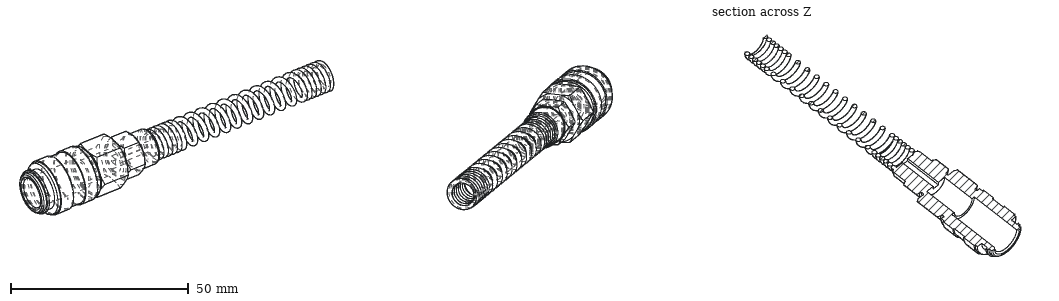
import cadquery as cq
import math


RING_START, RING_END = 1.2, 1.9
LIP_START = 4.0
COLLAR_START = 4.9
WAIST_START, WAIST_END = 9.1, 13.3
COLLAR_END = 17.3
SHOULDER_END = 18.5
BIG_HEX_START, BIG_HEX_END = 19.2, 28.2
SMALL_HEX_START, SMALL_HEX_END = 29.1, 35.1
SLEEVE_END = 40.5
TOTAL_LENGTH = 100.0

TIP_RADIUS = 6.0
RING_RADIUS = 6.5
COLLAR_RADIUS = 8.1
WAIST_RADIUS = 7.7
REAR_NECK_RADIUS = 6.6
HEX_NECK_RADIUS = 4.9
SLEEVE_RADIUS = 5.3

TIP_CHAMFER = 0.4
SLEEVE_CHAMFER_RADIAL, SLEEVE_CHAMFER_AXIAL = 0.3, 0.6

BIG_HEX_CORNERS = 2 * COLLAR_RADIUS
SMALL_HEX_CORNERS = 13.0
HEX_CHAMFER_RADIAL = 0.9
HEX_CHAMFER_ANGLE = 30.0

BORE_RADIUS, BORE_DEPTH = 4.4, COLLAR_END
INNER_BORE_RADIUS, INNER_BORE_DEPTH = 3.5, BIG_HEX_END
BORE_CHAMFER = 0.5
SQUARE_HOLE = 2.0

WIRE_DIAMETER = 1.5
SPRING_OUTER_RADIUS = 4.7
COIL_RADIUS = SPRING_OUTER_RADIUS - WIRE_DIAMETER / 2
CLOSE_GAP = 0.05
CLOSE_PITCH = WIRE_DIAMETER + CLOSE_GAP
BURIED_LENGTH = 1.1
SPRING_START = SLEEVE_END - BURIED_LENGTH
FIRST_CLOSE_TURNS, OPEN_TURNS, LAST_CLOSE_TURNS = 6.5, 11.0, 7.2
OPEN_LENGTH = 41.2
OPEN_PITCH = OPEN_LENGTH / OPEN_TURNS
START_ANGLE = 180.0
POINTS_PER_TURN = 12


def cylinder(radius, start, end):
    """Cylinder on the Y axis between two places."""
    return cq.Workplane("XZ", origin=(0, start, 0)).circle(radius).extrude(start - end)


def turned_body():
    """Round stretches from the tip to the end of the sleeve."""
    outline = [
        (0, 0),
        (TIP_RADIUS - TIP_CHAMFER, 0),
        (TIP_RADIUS, TIP_CHAMFER),
        (TIP_RADIUS, RING_START),
        (RING_RADIUS, RING_START),
        (RING_RADIUS, RING_END),
        (TIP_RADIUS, RING_END),
        (TIP_RADIUS, LIP_START),
        (WAIST_RADIUS, LIP_START),
        (WAIST_RADIUS, COLLAR_START),
        (COLLAR_RADIUS, COLLAR_START),
        (COLLAR_RADIUS, WAIST_START),
        (WAIST_RADIUS, WAIST_START),
        (WAIST_RADIUS, WAIST_END),
        (COLLAR_RADIUS, WAIST_END),
        (COLLAR_RADIUS, COLLAR_END),
        (WAIST_RADIUS, COLLAR_END),
        (WAIST_RADIUS, SHOULDER_END),
        (REAR_NECK_RADIUS, SHOULDER_END),
        (REAR_NECK_RADIUS, BIG_HEX_START),
        (HEX_NECK_RADIUS, BIG_HEX_START),
        (HEX_NECK_RADIUS, SMALL_HEX_END),
        (SLEEVE_RADIUS, SMALL_HEX_END),
        (SLEEVE_RADIUS, SLEEVE_END - SLEEVE_CHAMFER_AXIAL),
        (SLEEVE_RADIUS - SLEEVE_CHAMFER_RADIAL, SLEEVE_END),
        (0, SLEEVE_END),
    ]
    return cq.Workplane("XY").polyline(outline).close().revolve(360, (0, 0, 0), (0, 1, 0))


def hexagon(corners, start, end):
    """Hexagonal prism with its corners turned off conically at both ends."""
    axial = HEX_CHAMFER_RADIAL * math.tan(math.radians(HEX_CHAMFER_ANGLE))
    prism = cq.Workplane("XZ", origin=(0, start, 0)).polygon(6, corners).extrude(start - end)
    blank = cylinder(corners / 2, start, end).edges().chamfer(axial, HEX_CHAMFER_RADIAL)
    return prism.intersect(blank)


def bore():
    """Stepped round bore with a chamfered mouth."""
    outline = [
        (0, 0),
        (BORE_RADIUS + BORE_CHAMFER, 0),
        (BORE_RADIUS, BORE_CHAMFER),
        (BORE_RADIUS, BORE_DEPTH),
        (INNER_BORE_RADIUS, BORE_DEPTH),
        (INNER_BORE_RADIUS, INNER_BORE_DEPTH),
        (0, INNER_BORE_DEPTH),
    ]
    return cq.Workplane("XY").polyline(outline).close().revolve(360, (0, 0, 0), (0, 1, 0))


def square_hole():
    return cq.Workplane("XZ").rect(SQUARE_HOLE, SQUARE_HOLE).extrude(-SLEEVE_END)


def advance(turn):
    """Place on the axis that the wire has reached after a number of turns."""
    open_part = min(max(turn - FIRST_CLOSE_TURNS, 0), OPEN_TURNS)
    return SPRING_START + CLOSE_PITCH * turn + (OPEN_PITCH - CLOSE_PITCH) * open_part


def coil_point(turn):
    angle = math.radians(START_ANGLE) + 2 * math.pi * turn
    return cq.Vector(COIL_RADIUS * math.cos(angle), advance(turn), -COIL_RADIUS * math.sin(angle))


def spring():
    """Right-handed coil of round wire, ground flat at its free end."""
    turns = FIRST_CLOSE_TURNS + OPEN_TURNS + LAST_CLOSE_TURNS
    steps = math.ceil(turns * POINTS_PER_TURN)
    points = [coil_point(turns * step / steps) for step in range(steps + 1)]
    centre_line = cq.Edge.makeSpline(points)
    section = cq.Workplane(cq.Plane(points[0], (0, 1, 0), centre_line.tangentAt(0)))
    wire = section.circle(WIRE_DIAMETER / 2).sweep(cq.Workplane(centre_line), isFrenet=True)
    return wire.intersect(cylinder(2 * SPRING_OUTER_RADIUS, 0, TOTAL_LENGTH))


body = (
    turned_body()
    .union(hexagon(BIG_HEX_CORNERS, BIG_HEX_START, BIG_HEX_END))
    .union(hexagon(SMALL_HEX_CORNERS, SMALL_HEX_START, SMALL_HEX_END))
    .cut(bore())
    .cut(square_hole())
)

result = body.union(spring())